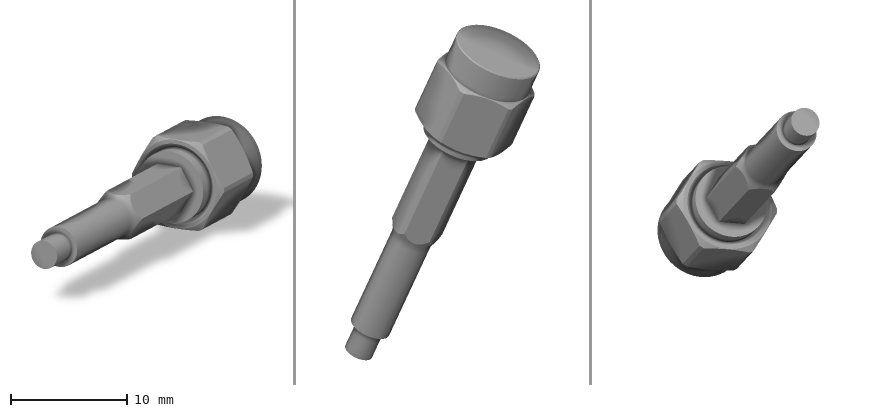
import cadquery as cq
import math

LENGTH = 32.37

FERRULE_REAR = 2.7
FERRULE_BARREL_END = 12.05
FERRULE_FRONT = 22.7
FLANGE_REAR = 22.92
NUT_REAR = 23.95
NUT_SHOULDER = 29.8

CABLE_DIAMETER = 2.52

FERRULE_ACROSS_FLATS = 4.0
FERRULE_BARREL_DIAMETER = 3.6
FERRULE_CONE_ANGLE = math.radians(26)
FERRULE_FILLET_RADIUS = 1.78

FLANGE_DIAMETER = 6.38
NECK_DIAMETER = 2.72

NUT_ACROSS_FLATS = 8.0
NUT_CORNER_DIAMETER = 9.0
NUT_FACE_DIAMETER = 7.93
NUT_CHAMFER_ANGLE = math.radians(30)
COLLAR_DIAMETER = 7.77
COLLAR_CHAMFER = 0.1
BORE_MOUTH_DIAMETER = 7.22
BORE_MOUTH_ANGLE = math.radians(45)


def cylinder(diameter, y_start, y_end):
    """Round bar along the Y axis."""
    disc = cq.Workplane("XZ", origin=(0, y_start, 0)).circle(diameter / 2)
    return disc.extrude(y_start - y_end)


def hexagon(across_flats, y_start, y_end):
    """Hexagonal bar along the Y axis, with flats at the top and bottom and corners on X."""
    across_corners = across_flats / math.cos(math.pi / 6)
    outline = cq.Workplane("XZ", origin=(0, y_start, 0)).polygon(6, across_corners)
    return outline.extrude(y_start - y_end)


def revolve_about_axis(profile):
    """Close an outline of (radius, Y) points and turn it about the Y axis."""
    return profile.close().revolve(360, (0, 0), (0, 1))


def make_cable():
    """Cable that runs through the ferrule up to the neck of the connector body."""
    return cylinder(CABLE_DIAMETER, 0, FERRULE_FRONT)


def make_ferrule():
    """Hexagonal bar turned down to a round barrel at the rear, and bored for the cable."""
    barrel_radius = FERRULE_BARREL_DIAMETER / 2
    clear_radius = FERRULE_ACROSS_FLATS

    def fillet_point(angle):
        radius = barrel_radius + FERRULE_FILLET_RADIUS * (1 - math.cos(angle))
        return radius, FERRULE_BARREL_END + FERRULE_FILLET_RADIUS * math.sin(angle)

    cone_start_radius, cone_start = fillet_point(FERRULE_CONE_ANGLE)
    cone_end = cone_start + (clear_radius - cone_start_radius) / math.tan(FERRULE_CONE_ANGLE)

    turned = revolve_about_axis(
        cq.Workplane("XY")
        .moveTo(0, FERRULE_REAR)
        .lineTo(barrel_radius, FERRULE_REAR)
        .lineTo(barrel_radius, FERRULE_BARREL_END)
        .threePointArc(fillet_point(FERRULE_CONE_ANGLE / 2), (cone_start_radius, cone_start))
        .lineTo(clear_radius, cone_end)
        .lineTo(clear_radius, FERRULE_FRONT)
        .lineTo(0, FERRULE_FRONT)
    )
    bar = hexagon(FERRULE_ACROSS_FLATS, FERRULE_REAR, FERRULE_FRONT)
    return bar.intersect(turned).cut(cylinder(CABLE_DIAMETER, FERRULE_REAR, FERRULE_FRONT))


def make_connector_body():
    """Round body that fills the bore of the nut, with a neck that meets the ferrule."""
    neck = cylinder(NECK_DIAMETER, FERRULE_FRONT, FLANGE_REAR)
    return cylinder(FLANGE_DIAMETER, FLANGE_REAR, LENGTH).union(neck)


def make_nut_hexagon():
    """Hexagon with its corners turned round and both its ends chamfered."""
    face_radius = NUT_FACE_DIAMETER / 2
    corner_radius = NUT_CORNER_DIAMETER / 2
    chamfer_length = (corner_radius - face_radius) * math.tan(NUT_CHAMFER_ANGLE)
    turned = revolve_about_axis(
        cq.Workplane("XY")
        .moveTo(0, NUT_REAR)
        .lineTo(face_radius, NUT_REAR)
        .lineTo(corner_radius, NUT_REAR + chamfer_length)
        .lineTo(corner_radius, NUT_SHOULDER - chamfer_length)
        .lineTo(face_radius, NUT_SHOULDER)
        .lineTo(0, NUT_SHOULDER)
    )
    return hexagon(NUT_ACROSS_FLATS, NUT_REAR, NUT_SHOULDER).intersect(turned)


def make_nut_bore():
    """Through bore that fits the connector body, with a conical mouth at the rear."""
    bore_radius = FLANGE_DIAMETER / 2
    mouth_radius = BORE_MOUTH_DIAMETER / 2
    mouth_depth = (mouth_radius - bore_radius) / math.tan(BORE_MOUTH_ANGLE)
    return revolve_about_axis(
        cq.Workplane("XY")
        .moveTo(0, NUT_REAR)
        .lineTo(mouth_radius, NUT_REAR)
        .lineTo(bore_radius, NUT_REAR + mouth_depth)
        .lineTo(bore_radius, LENGTH)
        .lineTo(0, LENGTH)
    )


def make_nut():
    """Coupling nut: hexagon with a round collar towards the mating end."""
    collar = cylinder(COLLAR_DIAMETER, NUT_SHOULDER, LENGTH).faces(">Y").chamfer(COLLAR_CHAMFER)
    return make_nut_hexagon().union(collar).cut(make_nut_bore())


cable = make_cable()
ferrule = make_ferrule()
connector_body = make_connector_body()
nut = make_nut()

result = cq.Compound.makeCompound([cable.val(), ferrule.val(), connector_body.val(), nut.val()])